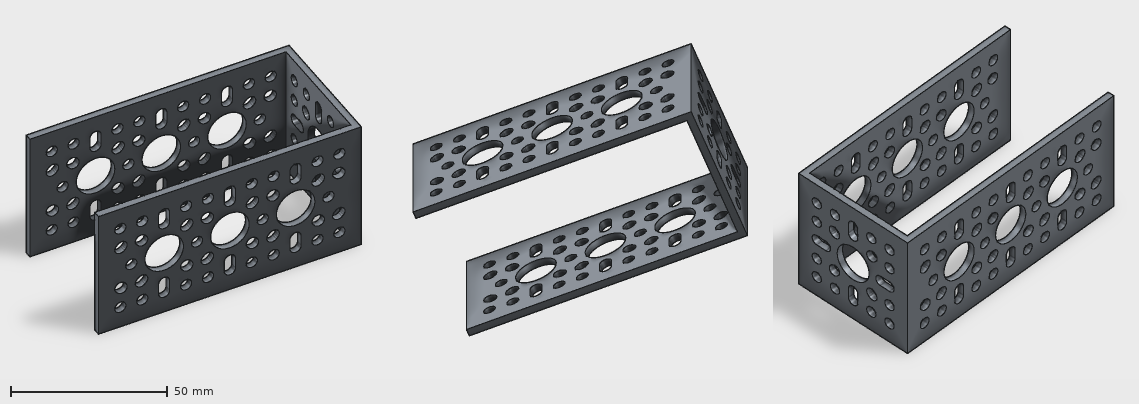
import cadquery as cq
import math

LENGTH = 96.0
WIDTH = 48.0
HEIGHT = WIDTH
WALL = 2.5

PITCH = WIDTH / 6
OUTER_ROW = 2 * PITCH
BORE_SPACING = 3 * PITCH
BORE_POSITIONS = (-BORE_SPACING, 0, BORE_SPACING)
HOLE_DIAMETER = 4.0
BORE_DIAMETER = 14.0

BOLT_CIRCLE_RADIUS = 1.5 * PITCH
SLOT_CENTER = (BOLT_CIRCLE_RADIUS + OUTER_ROW) / 2
SLOT_LENGTH = OUTER_ROW - BOLT_CIRCLE_RADIUS + HOLE_DIAMETER

DIAGONAL_OUTER = BOLT_CIRCLE_RADIUS / math.sqrt(2)
DIAGONAL_CENTER = (PITCH + DIAGONAL_OUTER) / 2
DIAGONAL_LENGTH = (DIAGONAL_OUTER - PITCH) * math.sqrt(2) + HOLE_DIAMETER

SIGNS = (-1, 1)


def round_cuts(plane, points, diameter, depth):
    """Cylinders rising from the plane."""
    return plane.pushPoints(points).circle(diameter / 2).extrude(depth)


def slot_cuts(plane, points, length, angle, depth):
    """Round-ended slots rising from the plane."""
    return plane.pushPoints(points).slot2D(length, HOLE_DIAMETER, angle).extrude(depth)


def cut_side_column(body, plane, center, side, depth):
    """Cut the outer-row holes and diagonal slots on one side of a pattern center."""
    holes = [(center + side * PITCH, row * OUTER_ROW) for row in SIGNS]
    body = body.cut(round_cuts(plane, holes, HOLE_DIAMETER, depth))
    for row in SIGNS:
        diagonal = [(center + side * DIAGONAL_CENTER, row * DIAGONAL_CENTER)]
        body = body.cut(slot_cuts(plane, diagonal, DIAGONAL_LENGTH, side * row * 45, depth))
    return body


def cut_bore_pattern(body, plane, center, depth):
    """Cut a bore, the slots above and below it, and the columns on both sides."""
    slots = [(center, row * SLOT_CENTER) for row in SIGNS]
    body = body.cut(round_cuts(plane, [(center, 0)], BORE_DIAMETER, depth))
    body = body.cut(slot_cuts(plane, slots, SLOT_LENGTH, 90, depth))
    for side in SIGNS:
        body = cut_side_column(body, plane, center, side, depth)
    return body


def channel():
    """Plain U channel centered on the origin."""
    block = cq.Workplane("XY").box(WIDTH, LENGTH, HEIGHT)
    cavity = cq.Workplane("XY").box(WIDTH - 2 * WALL, LENGTH - WALL, HEIGHT)
    return block.cut(cavity.translate((0, -WALL / 2, 0)))


def cut_flanges(body):
    """Pierce both flanges at once: three bore patterns, end columns and midline holes."""
    plane = cq.Workplane("YZ", origin=(-WIDTH / 2, 0, 0))
    depth = WIDTH
    for center in BORE_POSITIONS:
        body = cut_bore_pattern(body, plane, center, depth)
    for end in SIGNS:
        body = cut_side_column(body, plane, end * LENGTH / 2, -end, depth)
    midline_holes = [(end * n * BORE_SPACING / 2, 0) for end in SIGNS for n in (1, 3)]
    return body.cut(round_cuts(plane, midline_holes, HOLE_DIAMETER, depth))


def cut_web(body):
    """Pierce the web with one bore pattern plus outer columns and horizontal slots."""
    plane = cq.Workplane("XZ", origin=(0, LENGTH / 2, 0))
    depth = WALL
    body = cut_bore_pattern(body, plane, 0, depth)
    columns = [(side * OUTER_ROW, row * n * PITCH) for side in SIGNS for row in SIGNS for n in (1, 2)]
    slots = [(side * SLOT_CENTER, 0) for side in SIGNS]
    body = body.cut(round_cuts(plane, columns, HOLE_DIAMETER, depth))
    return body.cut(slot_cuts(plane, slots, SLOT_LENGTH, 0, depth))


result = cut_web(cut_flanges(channel()))